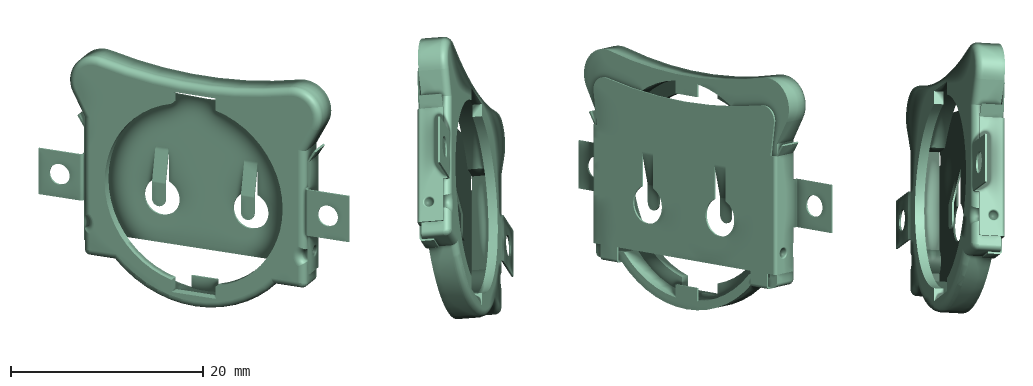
import cadquery as cq
import math


housing_depth = 3.08
half_width = 12.6
side_top = 6.67
side_bottom = -8.65
cradle_radius = 12.58
ear_radius = 2.95
ear_x = 11.35
ear_z = 10.56
scallop_mid_z = 12.2
bottom_corner_radius = 0.5
front_edge_radius = 0.75

window_radius = 10.12
lip_thickness = 1.0
wall = 0.95
notch_width = 5.0
notch_half_height = 11.15
keeper_width = 3.0
keeper_inner_z = 10.15
keeper_thickness = 0.22

snap_z = -5.0
snap_hole_radius = 0.72
snap_flare_radius = 0.74
snap_boss_radius = 1.7

sheet = 0.2
clip_back = 3.51
bend_inner = 0.15
bend_outer = bend_inner + sheet
flange_outer = half_width + sheet
snap_x = flange_outer
flange_front = 0.75
clip_bottom = -7.17
flange_top = 5.4
flare_top = 6.68
flare_reach = 0.75

plate_neck = 12.1
plate_corner_radius = 1.5
plate_corner_z = 9.12
plate_mid_z = 9.52

terminal_end = 17.65
terminal_half_height = 2.55
terminal_hole_x = 15.25
terminal_hole_radius = 1.15

foot_inner_x = 9.3
foot_outer_x = 11.6
foot_front = 1.97

contact_x = 5.05
contact_hole_z = -2.1
contact_hole_radius = 2.0
slot_width = 1.56
slot_top = 3.45
contact_width = 1.5
contact_bend_z = 3.32
contact_bend_radius = 0.8
contact_knee_radius = 0.3
contact_knee_z = -0.2
contact_tip_z = -2.83
contact_offset = 0.88

dimple_hollow_radius = 0.5
dimple_radius = dimple_hollow_radius + sheet
dimple_rim_radius = 0.15
dimple_y = 2.26

SIDES = (-1, 1)


def front_sketch(y=0):
    """Workplane parallel to XZ at depth y."""
    return cq.Workplane("XZ", origin=(0, y, 0))


def extrude_back(sketch, depth):
    """Extrude an XZ sketch toward +Y, against the normal of the plane."""
    return sketch.extrude(-depth)


def box(x_range, y_range, z_range):
    """Axis-aligned box between pairs of limits."""
    lows, highs = zip(x_range, y_range, z_range)
    size = [high - low for low, high in zip(lows, highs)]
    return cq.Workplane("XY").box(*size, centered=False).translate(lows)


def scallop_radius(corner_x, corner_z, corner_radius, mid_z):
    """Radius of the concave arc through (0, mid_z) that is tangent to both round corners."""
    drop = corner_z - mid_z
    return (corner_x**2 + drop**2 - corner_radius**2) / (2 * (corner_radius + drop))


def scallop_tangent(corner_x, corner_z, corner_radius, mid_z):
    """Point at the +X end of the concave top arc, where it meets the round corner."""
    radius = scallop_radius(corner_x, corner_z, corner_radius, mid_z)
    share = radius / (radius + corner_radius)
    center_z = mid_z + radius
    return corner_x * share, center_z + (corner_z - center_z) * share


def ear_side_tangent():
    """Point where the slanted side, starting at the top of the straight side, touches the ear."""
    dx = half_width - ear_x
    dz = side_top - ear_z
    distance = math.hypot(dx, dz)
    angle = math.atan2(dz, dx) + math.acos(ear_radius / distance)
    return ear_x + ear_radius * math.cos(angle), ear_z + ear_radius * math.sin(angle)


def housing_blank():
    """Outer shape of the housing with rounded bottom corners and front edge."""
    top_x, top_z = scallop_tangent(ear_x, ear_z, ear_radius, scallop_mid_z)
    side_x, side_z = ear_side_tangent()
    ear_mid_angle = math.radians(45)
    ear_mid_x = ear_x + ear_radius * math.cos(ear_mid_angle)
    ear_mid_z = ear_z + ear_radius * math.sin(ear_mid_angle)
    cradle_x = math.sqrt(cradle_radius**2 - side_bottom**2)
    outline = (
        front_sketch()
        .moveTo(-top_x, top_z)
        .threePointArc((0, scallop_mid_z), (top_x, top_z))
        .threePointArc((ear_mid_x, ear_mid_z), (side_x, side_z))
        .lineTo(half_width, side_top)
        .lineTo(half_width, side_bottom)
        .lineTo(cradle_x, side_bottom)
        .threePointArc((0, -cradle_radius), (-cradle_x, side_bottom))
        .lineTo(-half_width, side_bottom)
        .lineTo(-half_width, side_top)
        .lineTo(-side_x, side_z)
        .threePointArc((-ear_mid_x, ear_mid_z), (-top_x, top_z))
        .close()
    )
    blank = extrude_back(outline, housing_depth)
    for side in SIDES:
        corner = cq.selectors.NearestToPointSelector((side * half_width, housing_depth / 2, side_bottom))
        blank = blank.edges(corner).fillet(bottom_corner_radius)
    return blank.faces("<Y").edges().fillet(front_edge_radius)


def cell_cavity():
    """Space behind the front lip: round for the cell, squared off between the side walls."""
    depth = housing_depth - lip_thickness
    cavity = extrude_back(front_sketch(lip_thickness).circle(cradle_radius - wall), depth)
    inner_x = half_width - wall
    cavity = cavity.union(
        box((-inner_x, inner_x), (lip_thickness, housing_depth), (side_bottom + wall, side_top))
    )
    bosses = front_sketch(lip_thickness).pushPoints([(side * snap_x, snap_z) for side in SIDES])
    return cavity.cut(extrude_back(bosses.circle(snap_boss_radius), depth))


def snap_hole(side):
    """Hole at the side wall that takes a clip dimple, flared at the front face."""
    mouth = snap_hole_radius + snap_flare_radius
    bend = snap_flare_radius * math.sqrt(0.5)
    profile = (
        cq.Workplane("XY")
        .moveTo(0, 0)
        .lineTo(mouth, 0)
        .threePointArc((mouth - bend, snap_flare_radius - bend), (snap_hole_radius, snap_flare_radius))
        .lineTo(snap_hole_radius, housing_depth)
        .lineTo(0, housing_depth)
        .close()
    )
    return profile.revolve(360, (0, 0), (0, 1)).translate((side * snap_x, 0, snap_z))


def make_housing():
    """Housing with its cavity, round window, notches, snap holes and two keepers."""
    housing = housing_blank().cut(cell_cavity())
    housing = housing.cut(extrude_back(front_sketch().circle(window_radius), lip_thickness))
    notches = front_sketch().rect(notch_width, 2 * notch_half_height)
    housing = housing.cut(extrude_back(notches, lip_thickness))
    for side in SIDES:
        housing = housing.cut(snap_hole(side))
    keeper = box(
        (-keeper_width / 2, keeper_width / 2),
        (housing_depth - keeper_thickness, housing_depth),
        (keeper_inner_z, cradle_radius - wall / 2),
    )
    return housing.union(keeper).union(keeper.mirror("XY"))


def back_plate():
    """Flat plate with a concave top edge, two round top corners and a neck above the flanges."""
    corner_x = half_width - plate_corner_radius
    top_x, top_z = scallop_tangent(corner_x, plate_corner_z, plate_corner_radius, plate_mid_z)
    bend = plate_corner_radius * math.sqrt(0.5)
    corner_mid_x = corner_x + bend
    corner_mid_z = plate_corner_z + bend
    bend_x = flange_outer - bend_outer
    outline = (
        front_sketch(clip_back - sheet)
        .moveTo(-top_x, top_z)
        .threePointArc((0, plate_mid_z), (top_x, top_z))
        .threePointArc((corner_mid_x, corner_mid_z), (half_width, plate_corner_z))
        .lineTo(plate_neck, flange_top)
        .lineTo(bend_x, flange_top)
        .lineTo(bend_x, clip_bottom)
        .lineTo(-bend_x, clip_bottom)
        .lineTo(-bend_x, flange_top)
        .lineTo(-plate_neck, flange_top)
        .lineTo(-half_width, plate_corner_z)
        .threePointArc((-corner_mid_x, corner_mid_z), (-top_x, top_z))
        .close()
    )
    return extrude_back(outline, sheet)


def quarter_bend(plane, center, signs, span):
    """Quarter ring of sheet around center, filling the quadrant given by the two signs."""
    low, high = span
    sketch = cq.Workplane(plane).workplane(offset=low).center(*center)
    ring = sketch.circle(bend_outer).circle(bend_inner).extrude(high - low)
    half = bend_outer / 2
    quadrant = sketch.center(signs[0] * half, signs[1] * half).rect(bend_outer, bend_outer)
    return ring.intersect(quadrant.extrude(high - low))


def side_flange():
    """Flange on the +X side, bent forward from the plate, with a flared lead-in at its top."""
    bend_y = clip_back - bend_outer
    z_range = (clip_bottom, flange_top)
    flange = box((half_width, flange_outer), (flange_front, bend_y), z_range)
    flange = flange.union(quarter_bend("XY", (flange_outer - bend_outer, bend_y), (1, 1), z_range))
    flare = (
        front_sketch(flange_front)
        .moveTo(half_width, flange_top)
        .lineTo(flange_outer, flange_top)
        .lineTo(flange_outer + flare_reach, flare_top - sheet / 2)
        .lineTo(flange_outer + flare_reach - sheet, flare_top)
        .close()
    )
    return flange.union(extrude_back(flare, bend_y - flange_front))


def terminal():
    """Solder terminal on the +X side: a flange extension bent outward, with a round hole."""
    z_range = (-terminal_half_height, terminal_half_height)
    bend_x = half_width + bend_outer
    neck = box((half_width, flange_outer), (bend_outer, flange_front), z_range)
    blade = box((bend_x, terminal_end), (0, sheet), z_range)
    hole = extrude_back(front_sketch().center(terminal_hole_x, 0).circle(terminal_hole_radius), sheet)
    bend = quarter_bend("XY", (bend_x, bend_outer), (-1, -1), z_range)
    return neck.union(bend).union(blade.cut(hole))


def foot():
    """Foot on the +X side: a strip running down from the plate and bent under the housing."""
    x_range = (foot_inner_x, foot_outer_x)
    bend_y = clip_back - bend_outer
    bend_z = side_bottom - sheet + bend_outer
    strip = box(x_range, (clip_back - sheet, clip_back), (bend_z, clip_bottom))
    sole = box(x_range, (foot_front, bend_y), (side_bottom - sheet, side_bottom))
    return strip.union(quarter_bend("YZ", (bend_y, bend_z), (1, -1), x_range)).union(sole)


def contact_opening():
    """Keyhole opening around the +X contact tongue."""
    hole = front_sketch(clip_back - sheet).center(contact_x, contact_hole_z).circle(contact_hole_radius)
    slot = box(
        (contact_x - slot_width / 2, contact_x + slot_width / 2),
        (clip_back - sheet, clip_back),
        (contact_hole_z, slot_top),
    )
    return extrude_back(hole, sheet).union(slot)


def contact_tongue():
    """Contact tongue on the +X side: sloped forward, then upright, with a round end."""
    rear = clip_back
    front = clip_back - sheet
    strip = (
        cq.Workplane("YZ", origin=(contact_x - contact_width / 2, 0, 0))
        .moveTo(rear, slot_top)
        .lineTo(rear, contact_bend_z)
        .lineTo(rear - contact_offset, contact_knee_z)
        .lineTo(rear - contact_offset, contact_tip_z)
        .lineTo(front - contact_offset, contact_tip_z)
        .lineTo(front - contact_offset, contact_knee_z)
        .lineTo(front, contact_bend_z)
        .lineTo(front, slot_top)
        .close()
        .extrude(contact_width)
    )
    bends = (
        (front, contact_bend_z, contact_bend_radius),
        (rear, contact_bend_z, contact_bend_radius + sheet),
        (front - contact_offset, contact_knee_z, contact_knee_radius + sheet),
        (rear - contact_offset, contact_knee_z, contact_knee_radius),
    )
    for y, z, radius in bends:
        strip = strip.edges(cq.selectors.NearestToPointSelector((contact_x, y, z))).fillet(radius)
    tip_radius = contact_width / 2
    tip_z = contact_tip_z + tip_radius
    face = (
        front_sketch()
        .moveTo(contact_x - tip_radius, slot_top)
        .lineTo(contact_x + tip_radius, slot_top)
        .lineTo(contact_x + tip_radius, tip_z)
        .threePointArc((contact_x, contact_tip_z), (contact_x - tip_radius, tip_z))
        .close()
    )
    return strip.intersect(extrude_back(face, clip_back))


def add_dimple(flange):
    """Press a round dimple into the +X flange so that it bulges into the snap hole."""
    place = (flange_outer, dimple_y, snap_z)
    inner_side = box(
        (flange_outer - dimple_radius, flange_outer),
        (dimple_y - dimple_radius, dimple_y + dimple_radius),
        (snap_z - dimple_radius, snap_z + dimple_radius),
    )
    bulge = cq.Workplane("XY").sphere(dimple_radius).translate(place).intersect(inner_side)
    hollow = cq.Workplane("XY").sphere(dimple_hollow_radius).translate(place)
    dimpled = flange.union(bulge).cut(hollow)
    rim = cq.selectors.BoxSelector(
        (flange_outer - dimple_rim_radius, dimple_y - dimple_radius, snap_z - dimple_radius),
        (flange_outer + dimple_rim_radius, dimple_y + dimple_radius, snap_z + dimple_radius),
        boundingbox=True,
    )
    return dimpled.edges(rim).fillet(dimple_rim_radius)


def make_clip():
    """Spring clip: the back plate and the mirrored pairs of parts bent out of it."""
    half_parts = [add_dimple(side_flange()), terminal(), foot(), contact_tongue()]
    opening = contact_opening()
    clip = back_plate().cut(opening).cut(opening.mirror("YZ"))
    for part in half_parts:
        clip = clip.union(part).union(part.mirror("YZ"))
    return clip


housing = make_housing()
clip = make_clip()

result = cq.Compound.makeCompound([housing.solids().val(), clip.solids().val()])